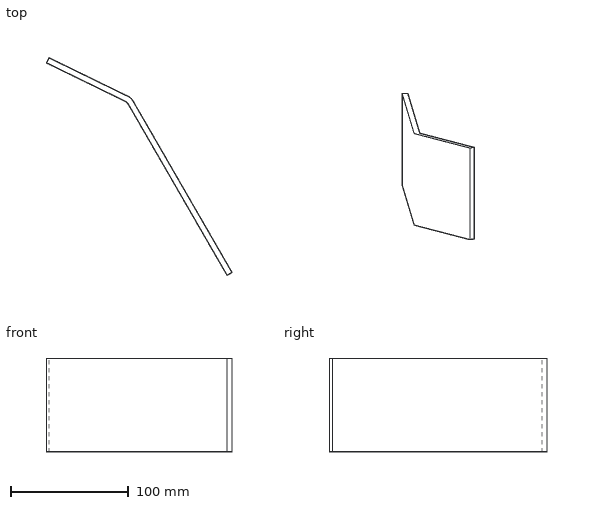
import cadquery as cq
import math

thickness = 5.0
height = 79.5

inner_radius = 5.0
outer_radius = inner_radius + thickness

short_length = 74.77
short_slope = 26.0
long_length = 168.31
long_slope = 60.0
middle_slope = (short_slope + long_slope) / 2


def strip_point(slope, radius, distance=0.0):
    """Point at a radius from the bend centre, square to the slope, then a distance down the slope."""
    angle = math.radians(slope)
    x = radius * math.sin(angle) + distance * math.cos(angle)
    y = radius * math.cos(angle) - distance * math.sin(angle)
    return (x, y)


def bent_strip():
    """Flat strip standing on edge, with one rolled bend about the Z axis."""
    profile = (
        cq.Workplane("XY")
        .moveTo(*strip_point(short_slope, outer_radius, -short_length))
        .lineTo(*strip_point(short_slope, outer_radius))
        .threePointArc(strip_point(middle_slope, outer_radius), strip_point(long_slope, outer_radius))
        .lineTo(*strip_point(long_slope, outer_radius, long_length))
        .lineTo(*strip_point(long_slope, inner_radius, long_length))
        .lineTo(*strip_point(long_slope, inner_radius))
        .threePointArc(strip_point(middle_slope, inner_radius), strip_point(short_slope, inner_radius))
        .lineTo(*strip_point(short_slope, inner_radius, -short_length))
        .close()
    )
    return profile.extrude(height)


result = bent_strip()